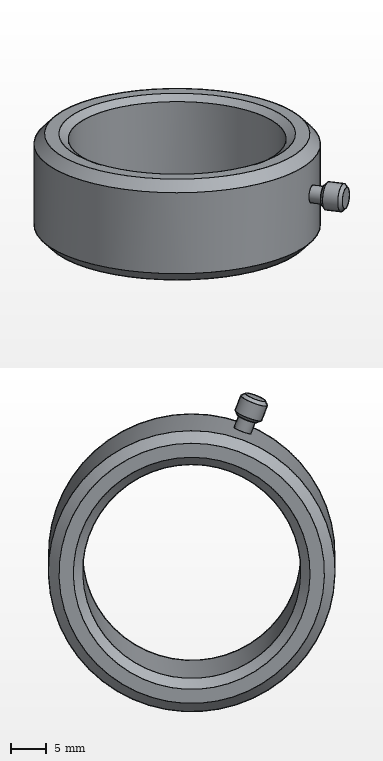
import cadquery as cq

ring_diameter = 40.0
ring_height = 15.0
bore_diameter = 30.4
outer_chamfer = 1.5
bore_chamfer_width = 1.3
top_bore_chamfer_depth = 0.75
bottom_bore_chamfer_depth = 1.3

overall_length = 45.0
screw_height = 1.0
shank_diameter = 2.5
head_diameter = 4.0
head_length = 3.25
head_chamfer = 0.5
tip_recess = 1.45

ring_radius = ring_diameter / 2
bore_radius = bore_diameter / 2
head_end_x = overall_length - ring_radius
head_start_x = head_end_x - head_length
tip_x = bore_radius + tip_recess


def cylinder_along_x(diameter, start_x, end_x):
    """Cylinder on the screw axis between two X positions."""
    return (
        cq.Workplane("YZ", origin=(start_x, 0, screw_height))
        .circle(diameter / 2)
        .extrude(end_x - start_x)
    )


def make_ring():
    """Chamfered ring with a radial hole for the screw."""
    half_height = ring_height / 2
    section = [
        (bore_radius, half_height - top_bore_chamfer_depth),
        (bore_radius + bore_chamfer_width, half_height),
        (ring_radius - outer_chamfer, half_height),
        (ring_radius, half_height - outer_chamfer),
        (ring_radius, outer_chamfer - half_height),
        (ring_radius - outer_chamfer, -half_height),
        (bore_radius + bore_chamfer_width, -half_height),
        (bore_radius, bottom_bore_chamfer_depth - half_height),
    ]
    body = cq.Workplane("XZ").polyline(section).close().revolve(360, (0, 0, 0), (0, 1, 0))
    screw_hole = cylinder_along_x(shank_diameter, 0, head_start_x)
    return body.cut(screw_hole)


def make_screw():
    """Plain shank with a larger head, chamfered at both ends."""
    shank = cylinder_along_x(shank_diameter, tip_x, head_start_x)
    head = cylinder_along_x(head_diameter, head_start_x, head_end_x)
    head = head.faces("<X or >X").chamfer(head_chamfer)
    return shank.union(head)


ring = make_ring()
screw = make_screw()
result = cq.Compound.makeCompound([ring.val(), screw.val()])